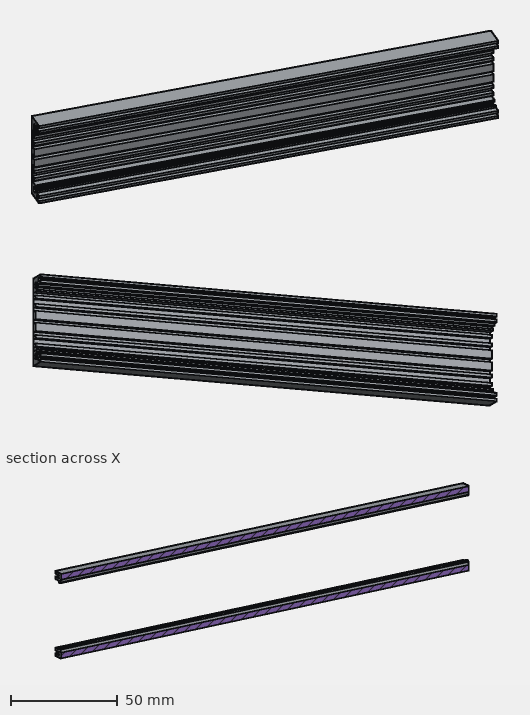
import cadquery as cq
import math

depth = 10.0
length = 228.6
height = 42.0
half_height = height / 2

web_thickness = 1.25
rib_reach = 3.60
wide_rib_bottom = 0.85
wide_rib_top = 4.85
narrow_rib_width = 1.45
narrow_rib_bottoms = (6.75, 10.80)

block_bottom = 13.95
lip_thickness = 1.25
lip_slot_height = 1.50
lip_slot_floor = 6.95
lip_slot_top = half_height - lip_thickness
lip_slot_bottom = lip_slot_top - lip_slot_height
inner_lip_bottom = lip_slot_bottom - lip_thickness
shoulder_bottom = 16.00

port_x = 3.85
port_z = 17.00
port_radius = 1.50
port_mouth_width = 1.50
port_mouth_angle = 45.0
block_reach = 5.00

ridge_angles = (180, 270)
ridge_tip_radius = 0.80
ridge_half_angle = 25.0


def box(x_min, x_max, z_min, z_max):
    """Full-length bar with the given cross-section limits."""
    return (
        cq.Workplane("XY")
        .box(x_max - x_min, length, z_max - z_min)
        .translate(((x_min + x_max) / 2, 0, (z_min + z_max) / 2))
    )


def prism(points):
    """Full-length bar with a polygonal XZ cross-section."""
    return cq.Workplane("XZ").polyline(points).close().extrude(length / 2, both=True)


def upper_ribs():
    ribs = box(0, rib_reach, wide_rib_bottom, wide_rib_top)
    for bottom in narrow_rib_bottoms:
        ribs = ribs.union(box(0, rib_reach, bottom, bottom + narrow_rib_width))
    return ribs


def port_point(radius, angle):
    """XZ point at a polar position about the screw port axis."""
    turn = math.radians(angle)
    return (port_x + radius * math.cos(turn), port_z + radius * math.sin(turn))


def port_ridge(angle):
    base_radius = port_radius / math.cos(math.radians(ridge_half_angle))
    return prism(
        [
            port_point(ridge_tip_radius, angle),
            port_point(base_radius, angle - ridge_half_angle),
            port_point(base_radius, angle + ridge_half_angle),
        ]
    )


def screw_port():
    port = (
        cq.Workplane("XZ")
        .center(port_x, port_z)
        .circle(port_radius)
        .extrude(length / 2, both=True)
    )
    for angle in ridge_angles:
        port = port.cut(port_ridge(angle))
    mouth = (
        box(0, depth, -port_mouth_width / 2, port_mouth_width / 2)
        .rotate((0, 0, 0), (0, 1, 0), port_mouth_angle)
        .translate((port_x, 0, port_z))
    )
    return port.union(mouth)


def upper_flange():
    flange = prism(
        [
            (0, half_height),
            (depth, half_height),
            (depth, inner_lip_bottom),
            (lip_slot_floor, inner_lip_bottom),
            (lip_slot_floor, shoulder_bottom),
            (block_reach, shoulder_bottom),
            (block_reach, block_bottom),
            (0, block_bottom),
        ]
    )
    slot = box(lip_slot_floor, depth, lip_slot_bottom, lip_slot_top)
    return flange.cut(slot).cut(screw_port())


web = box(0, web_thickness, -half_height, half_height)
upper_half = upper_ribs().union(upper_flange())
result = web.union(upper_half).union(upper_half.mirror("XY"))